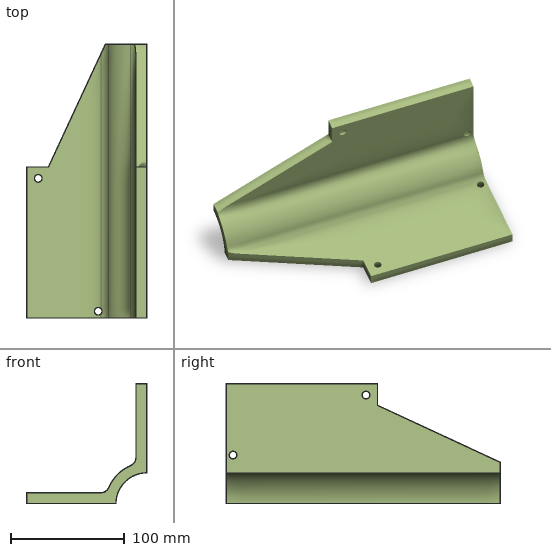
import cadquery as cq
import math

length = 241.3
wing_width = 105.7
wall = 9.7
groove_radius = 27.0
ridge_radius = 36.5
blend_radius = 7.5

full_width_length = 133.2
shoulder_width = 19.0

hole_diameter = 6.5
outer_hole_inset = 10.1
inner_hole_end_inset = 6.0
inner_hole_offset = 42.7

blend_height = wall + blend_radius
blend_offset = math.sqrt((ridge_radius + blend_radius) ** 2 - blend_height**2)
blend_angle = math.atan2(blend_height, blend_offset)
blend_middle_angle = (blend_angle + math.pi / 2) / 2
blend_middle = (
    blend_offset - blend_radius * math.cos(blend_middle_angle),
    blend_height - blend_radius * math.sin(blend_middle_angle),
)
ridge_end = (ridge_radius * math.cos(blend_angle), ridge_radius * math.sin(blend_angle))


def horizontal(point):
    """Place (distance from corner, height above wing) for the horizontal wing."""
    return (-point[0], point[1])


def vertical(point):
    """Place the same point mirrored onto the vertical wing."""
    return (-point[1], point[0])


def diagonal(radius):
    """Point at the given radius, midway between the wings."""
    return (-radius / math.sqrt(2), radius / math.sqrt(2))


def make_body():
    """Constant section: two wings joined by a hollow rounded ridge."""
    blend_start = (blend_offset, wall)
    return (
        cq.Workplane("XZ")
        .moveTo(-groove_radius, 0)
        .lineTo(-wing_width, 0)
        .lineTo(-wing_width, wall)
        .lineTo(*horizontal(blend_start))
        .threePointArc(horizontal(blend_middle), horizontal(ridge_end))
        .threePointArc(diagonal(ridge_radius), vertical(ridge_end))
        .threePointArc(vertical(blend_middle), vertical(blend_start))
        .lineTo(-wall, wing_width)
        .lineTo(0, wing_width)
        .lineTo(0, groove_radius)
        .threePointArc(diagonal(groove_radius), (-groove_radius, 0))
        .close()
        .extrude(-length)
    )


def make_wing_cutter():
    """End taper and fixing holes of the horizontal wing."""
    taper = (
        cq.Workplane("XY")
        .polyline([
            (-wing_width, full_width_length),
            (-wing_width + shoulder_width, full_width_length),
            (-ridge_radius, length),
            (-wing_width, length),
        ])
        .close()
        .extrude(wing_width)
    )
    holes = (
        cq.Workplane("XY")
        .pushPoints([
            (-wing_width + outer_hole_inset, full_width_length - outer_hole_inset),
            (-inner_hole_offset, inner_hole_end_inset),
        ])
        .circle(hole_diameter / 2)
        .extrude(2 * wall)
    )
    return taper.union(holes)


def swap_wings(shape):
    """Mirror across the diagonal plane between the wings (X and -Z trade places)."""
    return shape.rotate((0, 0, 0), (0, 1, 0), 90).mirror("YZ")


wing_cutter = make_wing_cutter()
result = make_body().cut(wing_cutter).cut(swap_wings(wing_cutter))